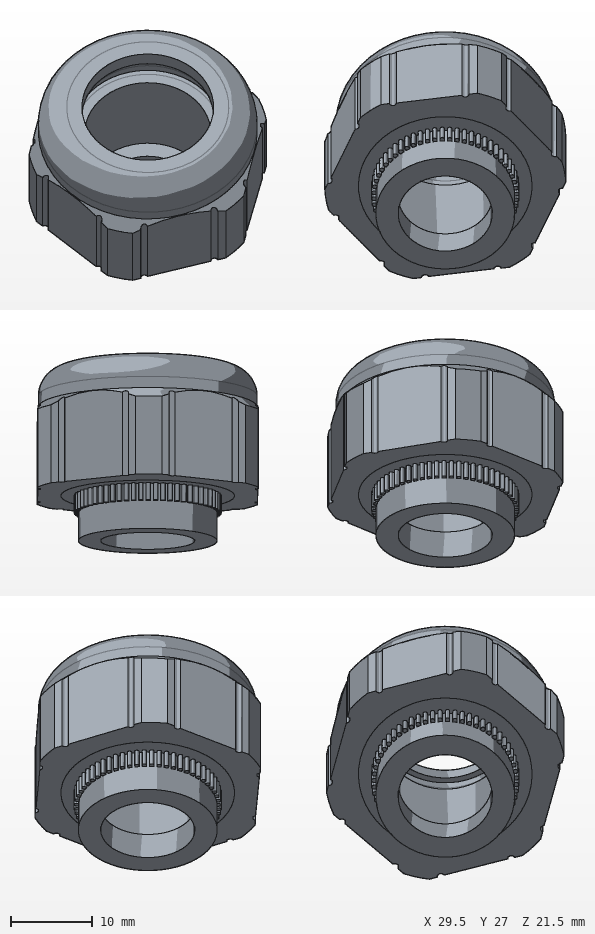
import cadquery as cq
import math

total_height = 21.48
spigot_height = 3.48
nut_bottom = 5.6
hex_corner_top = 15.3
bevel_top = 16.6
insert_top = 16.0

corner_radius = 14.75
across_flats = 27.0
corner_apothem = across_flats / 2
face_apothem = 13.45
hex_sides = 6
groove_radius = 0.45
groove_offset = 4.48
groove_center_apothem = 13.57

collar_radius = 13.4
dome_radius = 3.48

mouth_radius = 8.05
mouth_depth = 2.0
throat_radius = 8.73
throat_bottom = total_height - 3.33
throat_flare_radius = 2.95

head_radius = 10.62
head_round = 1.62
bore_radius = 7.73
passage_radius = 5.75
floor_top = spigot_height
spigot_radius = 8.5
ridge_tip_radius = 9.03
ridge_radius = 0.27
ridge_count = 60


def around_axis(count, shape):
    """Copies of a shape spaced evenly around the Z axis."""
    return [shape.rotate((0, 0, 0), (0, 0, 1), i * 360 / count) for i in range(count)]


def nut_envelope():
    """Turned outside of the nut: grip diameter, bevel, collar and dome."""
    dome_center = (collar_radius - dome_radius, total_height - dome_radius)
    dome_middle = (
        dome_center[0] + dome_radius * math.sin(math.pi / 4),
        dome_center[1] + dome_radius * math.cos(math.pi / 4),
    )
    profile = (
        cq.Workplane("XZ")
        .moveTo(0, nut_bottom)
        .lineTo(corner_radius, nut_bottom)
        .lineTo(corner_radius, hex_corner_top)
        .lineTo(collar_radius, bevel_top)
        .lineTo(collar_radius, total_height - dome_radius)
        .threePointArc(dome_middle, (dome_center[0], total_height))
        .lineTo(0, total_height)
        .close()
    )
    return profile.revolve(360, (0, 0, 0), (0, 1, 0))


def nut_cavity():
    """Turned inside of the nut: mouth, wider throat flaring outwards, and a bore for the insert."""
    flare_center_radius = throat_radius + throat_flare_radius
    flare_end_angle = math.acos((flare_center_radius - head_radius) / throat_flare_radius)

    def flare_point(angle):
        return (
            flare_center_radius - throat_flare_radius * math.cos(angle),
            throat_bottom - throat_flare_radius * math.sin(angle),
        )

    mouth_bottom = total_height - mouth_depth
    profile = (
        cq.Workplane("XZ")
        .moveTo(0, total_height)
        .lineTo(mouth_radius, total_height)
        .lineTo(mouth_radius, mouth_bottom)
        .lineTo(throat_radius, mouth_bottom)
        .lineTo(throat_radius, throat_bottom)
        .threePointArc(flare_point(flare_end_angle / 2), flare_point(flare_end_angle))
        .lineTo(head_radius, nut_bottom)
        .lineTo(0, nut_bottom)
        .close()
    )
    return profile.revolve(360, (0, 0, 0), (0, 1, 0))


def hex_prism():
    """Hexagon with two flats facing along Y."""
    across_corners = 2 * corner_apothem / math.cos(math.pi / hex_sides)
    return (
        cq.Workplane("XY")
        .workplane(offset=nut_bottom)
        .polygon(hex_sides, across_corners)
        .extrude(total_height - nut_bottom)
    )


def face_relief():
    """Cutter for one flat: a shallow recess bordered by two upright round grooves."""
    height = total_height - nut_bottom
    recess_depth = corner_radius - face_apothem
    base = cq.Workplane("XY").workplane(offset=nut_bottom)
    recess = (
        base.center(0, face_apothem + recess_depth / 2)
        .rect(2 * groove_offset, recess_depth)
        .extrude(height)
    )
    grooves = (
        base.pushPoints([(side * groove_offset, groove_center_apothem) for side in (-1, 1)])
        .circle(groove_radius)
        .extrude(height)
    )
    return recess.union(grooves)


def make_nut():
    """Hexagonal domed nut."""
    grip = hex_prism()
    for relief in around_axis(hex_sides, face_relief()):
        grip = grip.cut(relief)
    return nut_envelope().intersect(grip).cut(nut_cavity())


def insert_body():
    """Turned insert: spigot below, wide head with a rounded top edge, and a stepped bore."""
    spigot = cq.Workplane("XY").circle(spigot_radius).extrude(nut_bottom)
    head = (
        cq.Workplane("XY")
        .workplane(offset=nut_bottom)
        .circle(head_radius)
        .extrude(insert_top - nut_bottom)
        .faces(">Z")
        .edges()
        .fillet(head_round)
    )
    passage = cq.Workplane("XY").circle(passage_radius).extrude(insert_top)
    bore = cq.Workplane("XY").workplane(offset=floor_top).circle(bore_radius).extrude(insert_top - floor_top)
    return spigot.union(head).cut(passage).cut(bore)


def ridge():
    """One round-tipped ridge standing on the spigot just below the nut."""
    root_radius = (spigot_radius + bore_radius) / 2
    tip_center_radius = ridge_tip_radius - ridge_radius
    return (
        cq.Workplane("XY")
        .workplane(offset=spigot_height)
        .moveTo(root_radius, -ridge_radius)
        .lineTo(tip_center_radius, -ridge_radius)
        .threePointArc((ridge_tip_radius, 0), (tip_center_radius, ridge_radius))
        .lineTo(root_radius, ridge_radius)
        .close()
        .extrude(nut_bottom - spigot_height)
    )


def make_insert():
    """Insert with a ring of ridges around its spigot."""
    ridges = [one.val() for one in around_axis(ridge_count, ridge())]
    return cq.Workplane(insert_body().val().fuse(*ridges))


nut = make_nut()
insert = make_insert()
result = cq.Compound.makeCompound([nut.val(), insert.val()])